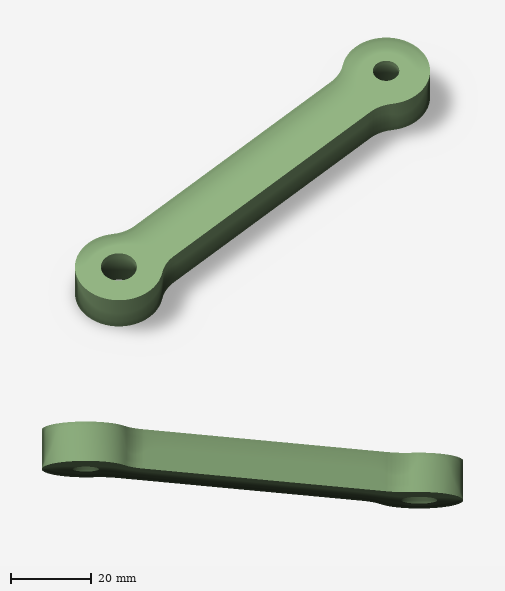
import cadquery as cq

THICKNESS = 10.0
HOLE_SPACING = 93.0
EYE_DIAMETER = 22.0
BAR_WIDTH = 14.0
FILLET_RADIUS = 10.0
FRONT_HOLE_DIAMETER = 9.0
BACK_HOLE_DIAMETER = 6.6

EYE_Y = HOLE_SPACING / 2


def cylinder(centre_y, diameter):
    """Upright cylinder on the part's centreline, as tall as the part."""
    return cq.Workplane("XY").center(0, centre_y).circle(diameter / 2).extrude(THICKNESS)


def make_link_body():
    """Straight bar with a round eye at each end, blended together."""
    bar = cq.Workplane("XY").rect(BAR_WIDTH, HOLE_SPACING).extrude(THICKNESS)
    inner_corners = cq.selectors.BoxSelector(
        (-BAR_WIDTH, -EYE_Y, 0),
        (BAR_WIDTH, EYE_Y, THICKNESS),
    )
    return (
        bar.union(cylinder(-EYE_Y, EYE_DIAMETER))
        .union(cylinder(EYE_Y, EYE_DIAMETER))
        .edges("|Z")
        .edges(inner_corners)
        .fillet(FILLET_RADIUS)
    )


result = (
    make_link_body()
    .cut(cylinder(-EYE_Y, FRONT_HOLE_DIAMETER))
    .cut(cylinder(EYE_Y, BACK_HOLE_DIAMETER))
)